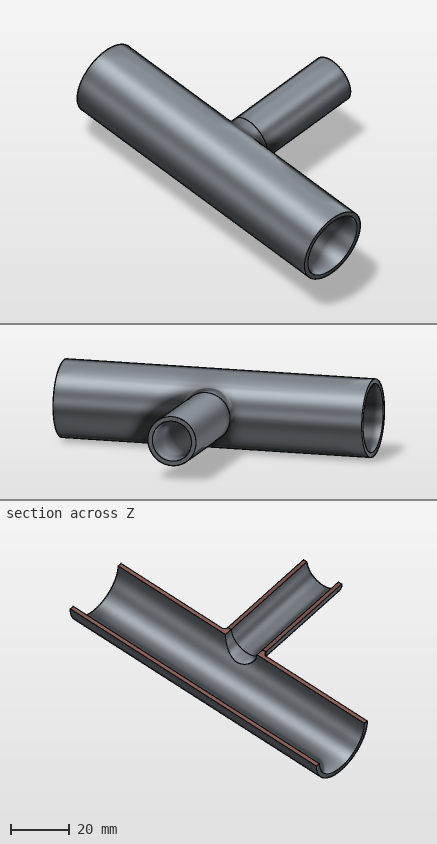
import cadquery as cq

main_length = 110.0
main_outer_diameter = 27.0
main_bore_diameter = 23.6

branch_outer_diameter = 17.2
branch_bore_diameter = 14.0
total_width = 68.4
branch_end = total_width - main_outer_diameter / 2
neck_end = 15.0
neck_fillet = 1.4


def cylinder_along_x(diameter):
    """Cylinder as long as the main pipe, centred on the origin."""
    return cq.Workplane("YZ").circle(diameter / 2).extrude(main_length / 2, both=True)


def cylinder_along_y(diameter, start, end):
    """Cylinder on the Y axis between two Y positions."""
    return cq.Workplane("XZ", origin=(0, start, 0)).circle(diameter / 2).extrude(start - end)


def make_tee():
    """Main pipe with a short filleted neck that opens into its bore."""
    neck = cylinder_along_y(branch_outer_diameter, 0, neck_end)
    tee = cylinder_along_x(main_outer_diameter).union(neck)

    saddle = tee.edges("not (%CIRCLE or %LINE)")
    tee = saddle.fillet(neck_fillet)

    tee = tee.cut(cylinder_along_x(main_bore_diameter))
    return tee.cut(cylinder_along_y(branch_bore_diameter, 0, neck_end))


def make_branch_pipe():
    """Straight pipe butted against the end of the neck."""
    outside = cylinder_along_y(branch_outer_diameter, neck_end, branch_end)
    return outside.cut(cylinder_along_y(branch_bore_diameter, neck_end, branch_end))


tee = make_tee()
branch_pipe = make_branch_pipe()

result = cq.Compound.makeCompound([tee.solids().val(), branch_pipe.solids().val()])